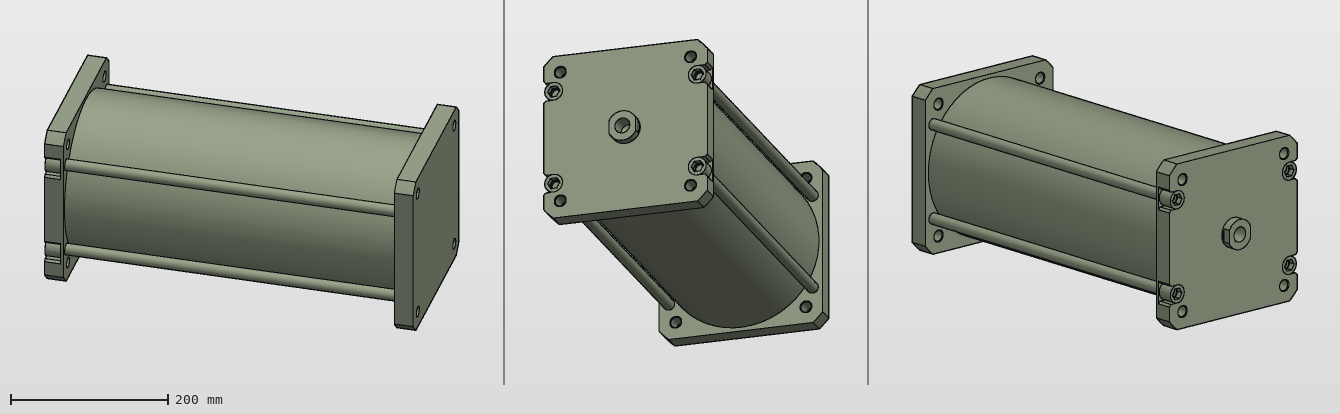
import cadquery as cq
import math

PLATE_SIZE = 220.0
PLATE_HALF = PLATE_SIZE / 2
PLATE_THICKNESS = 25.0
CORNER_SETBACK = 13.0
CORNER_TURNING_RADIUS = math.hypot(PLATE_HALF, PLATE_HALF - CORNER_SETBACK)
MOUNT_HOLE_DIAMETER = 14.0
MOUNT_HOLE_SPACING = 175.0
MOUNT_HOLE_CHAMFER = 1.0
MOUNT_HOLE_CHAMFER_ANGLE = 90.0

BARREL_DIAMETER = 210.0
BARREL_LENGTH = 437.0

TIE_ROD_SPACING_Y = 193.0
TIE_ROD_SPACING_Z = 125.0
TIE_ROD_DIAMETER = 15.0
TIE_ROD_ENGAGEMENT = 20.0
HEAD_DIAMETER = 24.0
HEAD_RECESS_DEPTH = 21.0
RECESS_MOUTH_CHAMFER = 3.0
SOCKET_ACROSS_FLATS = 14.0
SOCKET_DEPTH = 8.0
SOCKET_RELIEF_DIAMETER = 12.0
SOCKET_RELIEF_DEPTH = 4.0

ROD_DIAMETER = 40.0
ROD_PROTRUSION = 12.25
ROD_ACROSS_FLATS = 36.0
ROD_FLAT_LENGTH = 10.0
ROD_BORE_DIAMETER = 20.0
ROD_BORE_DEPTH = 25.0
DRILL_POINT_ANGLE = 118.0

ROD_TIP_X = -ROD_PROTRUSION
BARREL_START_X = PLATE_THICKNESS
BARREL_END_X = BARREL_START_X + BARREL_LENGTH
TIE_ROD_END_X = BARREL_END_X + TIE_ROD_ENGAGEMENT

TIE_ROD_POSITIONS = [
    (side_y * TIE_ROD_SPACING_Y / 2, side_z * TIE_ROD_SPACING_Z / 2)
    for side_y in (-1, 1)
    for side_z in (-1, 1)
]


def plane_at(x):
    """YZ plane at station x; its local axes are the global Y and Z."""
    return cq.Workplane("YZ", origin=(x, 0, 0))


def cylinder(diameter, start_x, end_x, position=(0, 0)):
    """Cylinder parallel to X, centred on position = (y, z)."""
    return plane_at(start_x).center(*position).circle(diameter / 2).extrude(end_x - start_x)


def make_blank_plate(start_x):
    """Square plate with turned corners and a mounting hole in each corner, chamfered on the -X side."""
    plate = plane_at(start_x).rect(PLATE_SIZE, PLATE_SIZE).extrude(PLATE_THICKNESS)
    turned_disc = cylinder(2 * CORNER_TURNING_RADIUS, start_x, start_x + PLATE_THICKNESS)
    plate = plate.intersect(turned_disc)
    return (
        plate.faces("<X")
        .workplane(origin=(start_x, 0, 0))
        .rect(MOUNT_HOLE_SPACING, MOUNT_HOLE_SPACING, forConstruction=True)
        .vertices()
        .cskHole(MOUNT_HOLE_DIAMETER, MOUNT_HOLE_DIAMETER + 2 * MOUNT_HOLE_CHAMFER, MOUNT_HOLE_CHAMFER_ANGLE)
    )


def make_head_recess(position):
    """Round-ended recess for a tie rod head, open to the nearest side of the plate with a flared mouth."""
    y, z = position
    side = math.copysign(1, y)
    half_width = HEAD_DIAMETER / 2
    mouth_half_width = half_width + RECESS_MOUTH_CHAMFER
    flare_start_y = side * (PLATE_HALF - RECESS_MOUTH_CHAMFER)
    return (
        plane_at(0)
        .moveTo(y, z + half_width)
        .lineTo(flare_start_y, z + half_width)
        .lineTo(side * PLATE_HALF, z + mouth_half_width)
        .lineTo(side * PLATE_HALF, z - mouth_half_width)
        .lineTo(flare_start_y, z - half_width)
        .lineTo(y, z - half_width)
        .threePointArc((y - side * half_width, z), (y, z + half_width))
        .close()
        .extrude(HEAD_RECESS_DEPTH)
    )


def make_front_plate():
    """Plate with the piston rod bore, tie rod holes and head recesses."""
    plate = make_blank_plate(0)
    plate = plate.cut(cylinder(ROD_DIAMETER, 0, PLATE_THICKNESS))
    for position in TIE_ROD_POSITIONS:
        plate = plate.cut(make_head_recess(position))
        plate = plate.cut(cylinder(TIE_ROD_DIAMETER, 0, PLATE_THICKNESS, position))
    return plate


def make_rear_plate():
    """Plate with blind holes that take the ends of the tie rods."""
    plate = make_blank_plate(BARREL_END_X)
    for position in TIE_ROD_POSITIONS:
        plate = plate.cut(cylinder(TIE_ROD_DIAMETER, BARREL_END_X, TIE_ROD_END_X, position))
    return plate


def make_tie_rod(position):
    """Long rod with a cylindrical head and a hexagon socket that ends in a round relief."""
    shank = cylinder(TIE_ROD_DIAMETER, HEAD_RECESS_DEPTH, TIE_ROD_END_X, position)
    head = cylinder(HEAD_DIAMETER, 0, HEAD_RECESS_DEPTH, position)
    socket_diameter = SOCKET_ACROSS_FLATS / math.cos(math.pi / 6)
    socket = plane_at(0).center(*position).polygon(6, socket_diameter).extrude(SOCKET_DEPTH)
    relief_end_x = SOCKET_DEPTH + SOCKET_RELIEF_DEPTH
    relief = cylinder(SOCKET_RELIEF_DIAMETER, SOCKET_DEPTH, relief_end_x, position)
    return head.union(shank).cut(socket).cut(relief)


def make_piston_rod():
    """Rod stub with two wrench flats and a drilled bore ending in a drill point."""
    rod = cylinder(ROD_DIAMETER, ROD_TIP_X, PLATE_THICKNESS)
    flat_depth = (ROD_DIAMETER - ROD_ACROSS_FLATS) / 2
    flat_offset = (ROD_ACROSS_FLATS + flat_depth) / 2
    flats = (
        plane_at(ROD_TIP_X)
        .pushPoints([(-flat_offset, 0), (flat_offset, 0)])
        .rect(flat_depth, ROD_DIAMETER)
        .extrude(ROD_FLAT_LENGTH)
    )
    bore_radius = ROD_BORE_DIAMETER / 2
    bore_end_x = ROD_TIP_X + ROD_BORE_DEPTH
    point_length = bore_radius / math.tan(math.radians(DRILL_POINT_ANGLE / 2))
    bore = (
        cq.Workplane("XZ")
        .moveTo(ROD_TIP_X, 0)
        .lineTo(ROD_TIP_X, bore_radius)
        .lineTo(bore_end_x, bore_radius)
        .lineTo(bore_end_x + point_length, 0)
        .close()
        .revolve(360, (0, 0, 0), (1, 0, 0))
    )
    return rod.cut(flats).cut(bore)


front_plate = make_front_plate()
rear_plate = make_rear_plate()
barrel = cylinder(BARREL_DIAMETER, BARREL_START_X, BARREL_END_X)
piston_rod = make_piston_rod()
tie_rods = [make_tie_rod(position) for position in TIE_ROD_POSITIONS]

result = cq.Compound.makeCompound(
    [
        front_plate.val(),
        rear_plate.val(),
        barrel.val(),
        piston_rod.val(),
        *[tie_rod.val() for tie_rod in tie_rods],
    ]
)